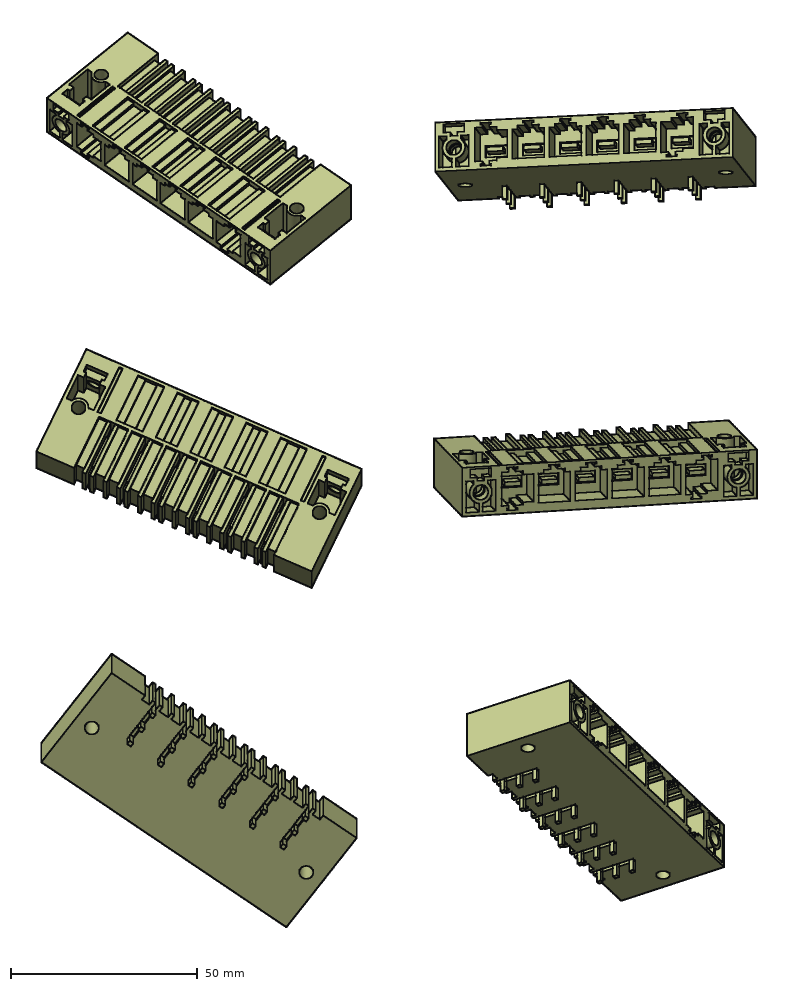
import cadquery as cq

length = 81.3
width = 32.0
height = 13.6
wall = 1.0
front = -width / 2
rear = width / 2

pole_count = 6
pitch = 10.2
pole_xs = [(i - (pole_count - 1) / 2) * pitch for i in range(pole_count)]
last_pole = pole_count - 1

cavity_depth = 7.7
cavity_half = 4.4
key_top = 0.7
key_head = 0.5
key_head_half = 1.5
key_neck_half = 1.0
shoulder_top = 1.95
side_top = 2.9
shoulder_half = 2.9
inner_floor = 11.05
end_key_offset = 1.5
end_step_offset = 1.55
end_floor = 11.3
end_raised_floor = 10.6
end_key_bottom = 12.6

panel_back = front + 14.95
panel_key_gap = 0.5
panel_shoulder_gap = 1.1
panel_step_depth = 0.9
panel_depth = 1.9
end_groove_inner = 29.5
end_groove_width = wall

bay_half = end_groove_inner
bay_front = 0.0
bay_depth = 1.55
bay_back_gap = 1.5
rib_width = 1.05
pole_rib_drop = 0.65
slot_width = 1.2

sheet = slot_width
blade_width = 4.4
blade_drop = 6.75
blade_tip = front + 5.3
recess_width = 6.1
recess_height = 3.2
recess_depth = 0.9
tail_length = 3.5
tail_count = 3
tail_pitch = 5.0
first_tail = rear - 2.35
web_back = first_tail + sheet / 2
web_front = first_tail - (tail_count - 1) * tail_pitch - sheet / 2
web_bottom = wall
web_rise = 1.6
web_step_length = 2.0
web_step_drop = 1.0

flange_x = pole_xs[last_pole] + pitch
screw_drop = 7.15
tube_radius = 3.1
insert_radius = 2.0
insert_bore = 1.7
insert_front = front + 3.65
tube_back = front + 6.1
side_pocket_width = 8.1
side_pocket_top = 3.9
side_pocket_depth = 5.1
side_pocket_floor = 12.5
bridge_width = 3.9
latch_width = 5.7
latch_top = 0.6
latch_bottom = 2.9
latch_neck_width = 1.95
latch_depth = 2.9
well_width = 8.05
well_back = panel_back
well_front = front + 7.6
well_neck_width = 4.6
well_floor = wall
shelf_width = 6.2
shelf_front = front + 4.0
shelf_depth = 2.9
mount_radius = 1.9
boss_radius = 2.7


def box(x0, x1, y0, y1, z0, z1):
    return cq.Workplane("XY").box(x1 - x0, y1 - y0, z1 - z0, centered=False).translate((x0, y0, z0))


def centered_box(x, size_x, y0, y1, z0, z1):
    return box(x - size_x / 2, x + size_x / 2, y0, y1, z0, z1)


def front_block(x0, x1, depth, upper, lower):
    """Block running back from the front face; upper and lower are drops from the top."""
    return box(x0, x1, front, front + depth, height - lower, height - upper)


def rod_y(x, radius, y0, y1):
    """Round bar along Y on the screw axis of a flange."""
    plane = cq.Plane(origin=(x, y0, height - screw_drop), xDir=(1, 0, 0), normal=(0, 1, 0))
    return cq.Workplane(plane).circle(radius).extrude(y1 - y0)


def key_offset(index):
    """Keyway offset from the pole centre: only the end poles are offset, outwards."""
    return {0: -end_key_offset, last_pole: end_key_offset}.get(index, 0.0)


def shoulder_range(index):
    """Left and right limits of the raised shoulder, relative to the pole centre."""
    left = -shoulder_half
    right = shoulder_half
    if index == 0:
        left = -cavity_half
        right = end_step_offset
    elif index == last_pole:
        left = -end_step_offset
        right = cavity_half
    return left, right


def keyway(x, head_upper, head_lower, neck_upper, neck_lower):
    head = front_block(x - key_head_half, x + key_head_half, cavity_depth, head_upper, head_lower)
    neck = front_block(x - key_neck_half, x + key_neck_half, cavity_depth, neck_upper, neck_lower)
    return head.union(neck)


def plug_cavity(index):
    x = pole_xs[index]
    is_end = index in (0, last_pole)
    floor = end_raised_floor if is_end else inner_floor
    left, right = shoulder_range(index)
    cavity = front_block(x - cavity_half, x + cavity_half, cavity_depth, side_top, floor)
    cavity = cavity.union(front_block(x + left, x + right, cavity_depth, shoulder_top, side_top))
    key_x = x + key_offset(index)
    cavity = cavity.union(keyway(key_x, key_top, key_top + key_head, key_top, shoulder_top))
    if is_end:
        step_x = x + end_step_offset
        cavity = cavity.union(
            front_block(x - cavity_half, step_x, cavity_depth, end_raised_floor, end_floor))
        head_upper = end_key_bottom - key_head
        cavity = cavity.union(
            keyway(x - end_key_offset, head_upper, end_key_bottom, end_floor, end_key_bottom))
    recess_back = front + cavity_depth + recess_depth
    recess = centered_box(x, recess_width, front + cavity_depth, recess_back,
                          height - blade_drop - recess_height / 2,
                          height - blade_drop + recess_height / 2)
    return cavity.union(recess)


def top_panel(index):
    """Stepped panel between pole index and the next one."""
    left_x = pole_xs[index]
    right_x = pole_xs[index + 1]
    y0 = front + wall
    y1 = panel_back
    key_reach = key_head_half + panel_key_gap
    outer = box(left_x + key_offset(index) + key_reach,
                right_x + key_offset(index + 1) - key_reach,
                y0, y1, height - panel_step_depth, height)
    inner = box(left_x + shoulder_range(index)[1] + panel_shoulder_gap,
                right_x + shoulder_range(index + 1)[0] - panel_shoulder_gap,
                y0, y1, height - panel_depth, height)
    return outer.union(inner)


def end_groove(side):
    x = side * (end_groove_inner + end_groove_width / 2)
    return centered_box(x, end_groove_width, front + wall, panel_back,
                        height - panel_step_depth, height)


def rear_bay():
    """Space around the ribs: above the bay floor and behind it."""
    above = box(-bay_half, bay_half, bay_front, rear, height - bay_depth, height)
    behind = box(-bay_half, bay_half, rear - bay_back_gap, rear, 0, height)
    bay = above.union(behind)
    rib_offset = (slot_width + rib_width) / 2
    for x in pole_xs:
        for side in (-1, 1):
            bay = bay.cut(centered_box(x + side * rib_offset, rib_width, bay_front, rear,
                                       0, height - pole_rib_drop))
    for x in pole_xs[:-1]:
        bay = bay.cut(centered_box(x + pitch / 2, rib_width, bay_front, rear, 0, height))
    return bay


def contact_slot(x):
    """Slot for the web, open to the rear, and the passage for the blade."""
    blade_z = height - blade_drop
    slot = centered_box(x, slot_width, web_front, rear, 0, height)
    slot = slot.union(centered_box(x, slot_width, bay_front, web_front, blade_z, height))
    passage = centered_box(x, blade_width, front + cavity_depth, web_front,
                           blade_z - sheet / 2, blade_z + sheet / 2)
    return slot.union(passage)


def flange_front_pockets(x):
    half = side_pocket_width / 2
    pockets = front_block(x - half, x + half, side_pocket_depth, side_pocket_top, side_pocket_floor)
    pockets = pockets.cut(rod_y(x, tube_radius, front, front + side_pocket_depth))
    pockets = pockets.cut(front_block(x - wall / 2, x + wall / 2, side_pocket_depth,
                                      screw_drop, side_pocket_floor))
    pockets = pockets.cut(front_block(x - bridge_width / 2, x + bridge_width / 2, side_pocket_depth,
                                      side_pocket_top, screw_drop))
    latch = front_block(x - latch_width / 2, x + latch_width / 2, latch_depth,
                        latch_top, latch_bottom)
    neck = front_block(x - latch_neck_width / 2, x + latch_neck_width / 2, latch_depth,
                       latch_bottom, side_pocket_top)
    return pockets.union(latch).union(neck)


def flange_well(x):
    """Well behind the screw tube, leaving the boss of the mounting hole standing."""
    well = centered_box(x, well_width, well_front, well_back, well_floor, height)
    neck = centered_box(x, well_neck_width, tube_back, well_front, well_floor, height)
    shelf = centered_box(x, shelf_width, shelf_front, tube_back,
                         height - shelf_depth, height)
    boss = cq.Workplane("XY").center(x, bay_front).circle(boss_radius).extrude(height)
    return well.cut(boss).union(neck).union(shelf)


def mounting_hole(x):
    return cq.Workplane("XY").center(x, bay_front).circle(mount_radius).extrude(height)


def make_housing():
    body = box(-length / 2, length / 2, front, rear, 0, height)
    body = body.cut(rear_bay())
    for index, x in enumerate(pole_xs):
        body = body.cut(plug_cavity(index))
        body = body.cut(contact_slot(x))
    for index in range(last_pole):
        body = body.cut(top_panel(index))
    for side in (-1, 1):
        x = side * flange_x
        body = body.cut(end_groove(side))
        body = body.cut(flange_front_pockets(x))
        body = body.cut(flange_well(x))
        body = body.cut(mounting_hole(x))
        body = body.cut(rod_y(x, insert_radius, front, tube_back))
    return body


def make_contact(x):
    """Flat blade in front, upright web behind it and three solder tails below."""
    blade_z = height - blade_drop
    web_top = blade_z + sheet / 2 + web_rise
    step_y = web_back - web_step_length
    contact = centered_box(x, sheet, web_front, step_y, web_bottom, web_top)
    contact = contact.union(
        centered_box(x, sheet, step_y, web_back, web_bottom, web_top - web_step_drop))
    contact = contact.union(centered_box(x, blade_width, blade_tip, web_front,
                                         blade_z - sheet / 2, blade_z + sheet / 2))
    for i in range(tail_count):
        y = first_tail - i * tail_pitch
        contact = contact.union(
            centered_box(x, sheet, y - sheet / 2, y + sheet / 2, -tail_length, web_bottom))
    return contact


def make_insert(x):
    """Sleeve in the rear end of a flange's screw tube."""
    sleeve = rod_y(x, insert_radius, insert_front, tube_back)
    return sleeve.cut(rod_y(x, insert_bore, insert_front, tube_back))


housing = make_housing()
contacts = [make_contact(x) for x in pole_xs]
inserts = [make_insert(side * flange_x) for side in (-1, 1)]

result = cq.Compound.makeCompound(
    [housing.val()]
    + [contact.val() for contact in contacts]
    + [insert.val() for insert in inserts]
)